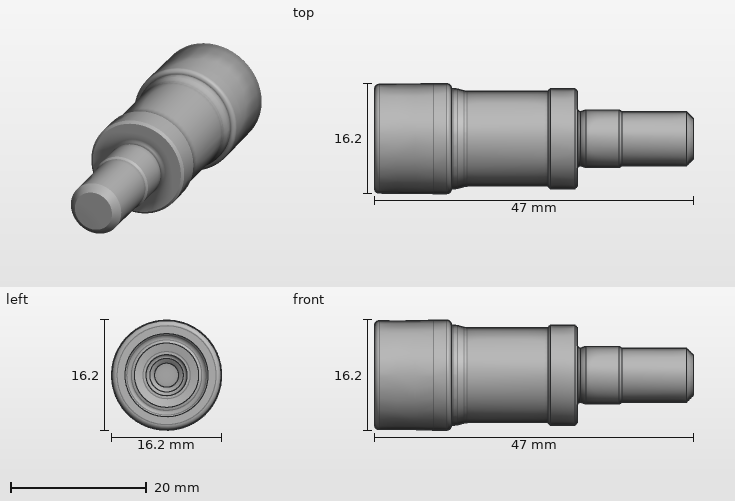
import cadquery as cq

overall_length = 46.95

collar_radius = 14.8 / 2
body_radius = 14.0 / 2
flange_radius = 14.75 / 2
seat_radius = 8.5 / 2
shank_radius = 8.0 / 2

cone_start = 11.9
cone_end = 13.4
cone_top_blend = 2.45
cone_bottom_blend = 1.9
flange_start = 25.5
flange_end = 29.85
flange_chamfer = flange_radius - body_radius
neck_fillet = 0.5
seat_ramp_length = 0.75
seat_ramp_start = flange_end + neck_fillet
seat_ramp_end = seat_ramp_start + seat_ramp_length
seat_end = 36.4
seat_chamfer = 0.4
shank_chamfer = 1.05

post_radius = 2.47
post_tip = 1.05
dimple_floor_radius = 1.77
dimple_depth = 0.48

bumper_radius = 16.22 / 2
bumper_front_radius = 8.03
bumper_taper_end = 8.65
bumper_end = 11.32
front_fillet = 0.75
rear_fillet = 0.7

mouth_radius = 6.12
groove_wall_radius = 5.87
groove_wall_depth = 0.22
groove_inner_radius = 5.18
groove_depth = 0.48
lip_radius = 4.73
lip_depth = 0.35
dish_radius = 3.47
dish_depth = 0.58
cove_radius = 3.03

ROUND_SETBACK = 1 - 0.5 ** 0.5


def revolve_about_x(profile):
    return profile.revolve(360, (0, 0, 0), (1, 0, 0))


def circle_at(x):
    """Selector for the circular edge whose centre lies on the axis at x."""
    return cq.selectors.NearestToPointSelector((x, 0, 0))


def round_middle(start, corner, end):
    """Middle point of the arc that rounds off a corner between start and end."""
    return tuple(
        c + ROUND_SETBACK * ((s - c) + (e - c)) for s, c, e in zip(start, corner, end)
    )


def make_stud():
    neck_top = (flange_end, shank_radius + neck_fillet)
    neck_corner = (flange_end, shank_radius)
    neck_bottom = (seat_ramp_start, shank_radius)
    profile = (
        cq.Workplane("XY")
        .moveTo(post_tip + dimple_depth, 0)
        .lineTo(post_tip + dimple_depth, dimple_floor_radius)
        .lineTo(post_tip, post_radius)
        .lineTo(bumper_end, post_radius)
        .lineTo(bumper_end, collar_radius)
        .lineTo(cone_start, collar_radius)
        .lineTo(cone_end, body_radius)
        .lineTo(flange_start, body_radius)
        .lineTo(flange_start + flange_chamfer, flange_radius)
        .lineTo(flange_end - flange_chamfer, flange_radius)
        .lineTo(flange_end, flange_radius - flange_chamfer)
        .lineTo(*neck_top)
        .threePointArc(round_middle(neck_top, neck_corner, neck_bottom), neck_bottom)
        .lineTo(seat_ramp_end, seat_radius)
        .lineTo(seat_end - seat_chamfer, seat_radius)
        .lineTo(seat_end, shank_radius)
        .lineTo(overall_length - shank_chamfer, shank_radius)
        .lineTo(overall_length, shank_radius - shank_chamfer)
        .lineTo(overall_length, 0)
        .close()
    )
    stud = revolve_about_x(profile)
    stud = stud.edges(circle_at(cone_start)).fillet(cone_top_blend)
    return stud.edges(circle_at(cone_end)).fillet(cone_bottom_blend)


def make_bumper():
    cove_bottom = (post_tip, post_radius)
    cove_corner = (post_tip, cove_radius)
    cove_top = (dish_depth, cove_radius)

    groove_bottom = (groove_depth, groove_inner_radius)
    groove_corner = (groove_depth, groove_wall_radius)
    groove_top = (groove_wall_depth, groove_wall_radius)

    front_inner = (0, bumper_front_radius - front_fillet)
    front_corner = (0, bumper_front_radius)
    front_outer = (front_fillet, bumper_front_radius)

    rear_outer = (bumper_end - rear_fillet, bumper_radius)
    rear_corner = (bumper_end, bumper_radius)
    rear_inner = (bumper_end, bumper_radius - rear_fillet)

    profile = (
        cq.Workplane("XY")
        .moveTo(bumper_end, post_radius)
        .lineTo(*cove_bottom)
        .threePointArc(round_middle(cove_bottom, cove_corner, cove_top), cove_top)
        .lineTo(dish_depth, dish_radius)
        .lineTo(lip_depth, lip_radius)
        .lineTo(*groove_bottom)
        .threePointArc(round_middle(groove_bottom, groove_corner, groove_top), groove_top)
        .lineTo(0, mouth_radius)
        .lineTo(*front_inner)
        .threePointArc(round_middle(front_inner, front_corner, front_outer), front_outer)
        .lineTo(bumper_taper_end, bumper_radius)
        .lineTo(*rear_outer)
        .threePointArc(round_middle(rear_outer, rear_corner, rear_inner), rear_inner)
        .close()
    )
    return revolve_about_x(profile)


stud = make_stud()
bumper = make_bumper()
result = cq.Compound.makeCompound([stud.val(), bumper.val()])